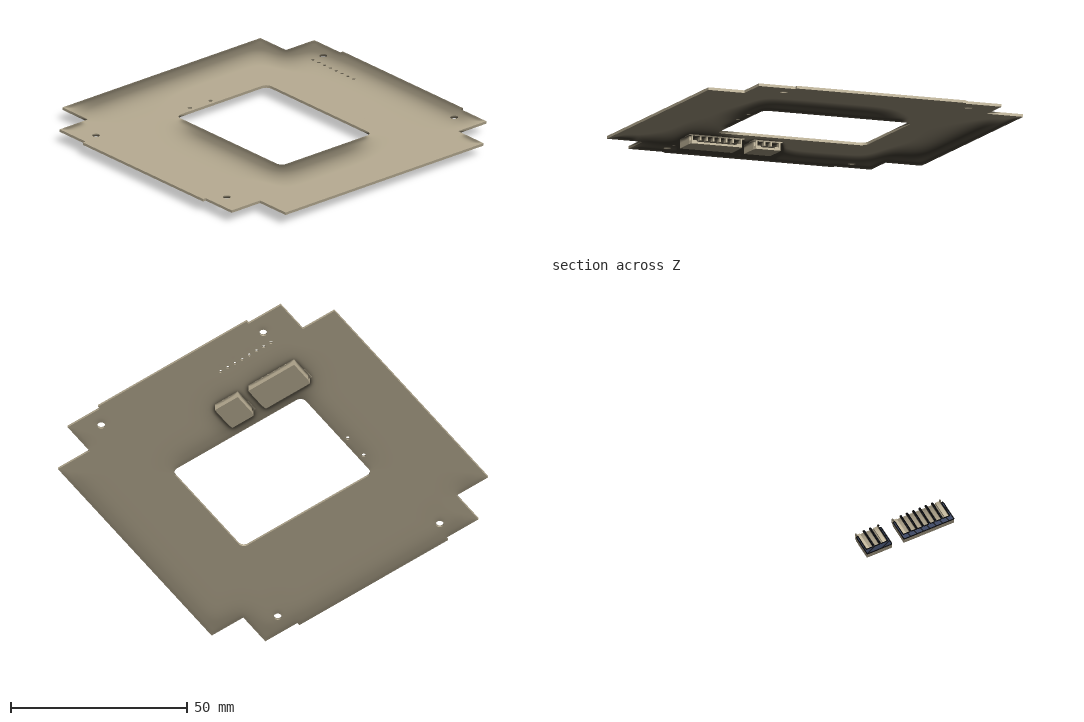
import cadquery as cq

OVERALL_HEIGHT = 3.4

BOARD_X = 96.9
BOARD_Y = 97.3
BOARD_THICKNESS = 0.8
NECK_X = 74.75
WING_Y = 74.2
SHOULDER_Y = 95.4
TAB_X = 52.2

WINDOW_X = 45.7
WINDOW_Y = 34.2
WINDOW_CENTER = (0, 0.4)
WINDOW_RADIUS = 1.9

MOUNT_DIAMETER = 2.2
MOUNT_SPACING_X = 56.8
MOUNT_SPACING_Y = 85.2
MOUNT_CENTER = (0.9, 0)
HEADER_DIAMETER = 1.0
HEADER_COUNT = 8
HEADER_PITCH = 2.5
HEADER_CENTER = (-18.4, 38.4)
PAIR_DIAMETER = 1.3
PAIR_SPACING = 7.7
PAIR_CENTER = (-24.6, -6.0)

LONG_CONTACTS = 6
LONG_CENTER_X = -21.0
SHORT_CONTACTS = 2
SHORT_CENTER_X = -5.3
LONG_SPAN = 10.0
CONTACT_PITCH = LONG_SPAN / (LONG_CONTACTS - 1)
SHELL_END_MARGIN = 3.0
SHELL_HEIGHT = OVERALL_HEIGHT - BOARD_THICKNESS
SHELL_FRONT_Y = 21.7
SHELL_DEPTH = 8.1
CAVITY_WALL = 0.7
CAVITY_ROOF = 0.4
CAVITY_HEIGHT = 1.3
CAVITY_DEPTH = 6.3
KEYWAY_MARGIN = 1.2
KEYWAY_DEPTH = 0.4
NOSE_LENGTH = 1.5
NOSE_INSET = 0.3
SIDE_RECESS_FRONT = 0.4
SIDE_RECESS_LENGTH = 0.7
SIDE_RECESS_HEIGHT = 1.7
SIDE_RECESS_DEPTH = 0.5
CONTACT_WIDTH = 0.5
CONTACT_HEIGHT = 1.2
FOOT_OVERHANG = 0.4
FOOT_LENGTH = 3.5
FOOT_THICKNESS = 0.3
TAIL_OVERHANG = 0.3
TAIL_THICKNESS = 0.3
TAIL_DROP = 0.5


def make_board():
    """Plate with notched corners, end tabs, a window and holes."""
    def layer(x, y):
        return cq.Workplane("XY").box(x, y, BOARD_THICKNESS, centered=(True, True, False))

    def drill(points, diameter):
        return cq.Workplane("XY").pushPoints(points).circle(diameter / 2).extrude(BOARD_THICKNESS)

    board = layer(BOARD_X, WING_Y).union(layer(NECK_X, SHOULDER_Y)).union(layer(TAB_X, BOARD_Y))
    window = layer(WINDOW_X, WINDOW_Y).edges("|Z").fillet(WINDOW_RADIUS).translate((*WINDOW_CENTER, 0))

    mount_points = [
        (MOUNT_CENTER[0] + sx * MOUNT_SPACING_X / 2, MOUNT_CENTER[1] + sy * MOUNT_SPACING_Y / 2)
        for sx in (-1, 1) for sy in (-1, 1)
    ]
    header_points = [
        (HEADER_CENTER[0] + (i - (HEADER_COUNT - 1) / 2) * HEADER_PITCH, HEADER_CENTER[1])
        for i in range(HEADER_COUNT)
    ]
    pair_points = [(PAIR_CENTER[0], PAIR_CENTER[1] + s * PAIR_SPACING / 2) for s in (-1, 1)]

    board = (
        board.cut(window)
        .cut(drill(mount_points, MOUNT_DIAMETER))
        .cut(drill(header_points, HEADER_DIAMETER))
        .cut(drill(pair_points, PAIR_DIAMETER))
    )
    return board.translate((0, 0, -BOARD_THICKNESS))


def hanging_block(width, depth, height, front_y=0.0, top_z=0.0, center_x=0.0):
    """Box centred on X that runs back from front_y and down from top_z."""
    block = cq.Workplane("XY").box(width, depth, height, centered=(True, False, False))
    return block.translate((center_x, front_y, top_z - height))


def make_connector(contacts, center_x):
    """Shell with an open front, contacts on the roof, side feet and rear tails."""
    span = (contacts - 1) * CONTACT_PITCH
    shell_width = span + 2 * SHELL_END_MARGIN
    contact_xs = [(i - (contacts - 1) / 2) * CONTACT_PITCH for i in range(contacts)]

    half_width = shell_width / 2
    nose_half_width = half_width - NOSE_INSET
    connector = (
        cq.Workplane("XY")
        .polyline([
            (-nose_half_width, 0),
            (nose_half_width, 0),
            (half_width, NOSE_LENGTH),
            (half_width, SHELL_DEPTH),
            (-half_width, SHELL_DEPTH),
            (-half_width, NOSE_LENGTH),
        ])
        .close()
        .extrude(-SHELL_HEIGHT)
    )

    for side in (-1, 1):
        connector = connector.cut(
            hanging_block(2 * SIDE_RECESS_DEPTH, SIDE_RECESS_LENGTH, SIDE_RECESS_HEIGHT,
                          front_y=SIDE_RECESS_FRONT, center_x=side * half_width)
        )

    cavity_width = shell_width - 2 * CAVITY_WALL
    keyway_width = span + 2 * KEYWAY_MARGIN
    cavity_floor = -CAVITY_ROOF - CAVITY_HEIGHT
    connector = connector.cut(hanging_block(cavity_width, CAVITY_DEPTH, CAVITY_HEIGHT, top_z=-CAVITY_ROOF))
    connector = connector.cut(hanging_block(keyway_width, CAVITY_DEPTH, KEYWAY_DEPTH, top_z=cavity_floor))

    for x in contact_xs:
        connector = connector.union(
            hanging_block(CONTACT_WIDTH, CAVITY_DEPTH, CONTACT_HEIGHT, top_z=-CAVITY_ROOF, center_x=x)
        )
        connector = connector.union(
            hanging_block(CONTACT_WIDTH, TAIL_OVERHANG, TAIL_THICKNESS,
                          front_y=SHELL_DEPTH, top_z=-TAIL_DROP, center_x=x)
        )

    foot_span = shell_width + 2 * FOOT_OVERHANG
    connector = connector.union(hanging_block(foot_span, FOOT_LENGTH, FOOT_THICKNESS))

    return connector.translate((center_x, SHELL_FRONT_Y, -BOARD_THICKNESS))


board = make_board()
long_connector = make_connector(LONG_CONTACTS, LONG_CENTER_X)
short_connector = make_connector(SHORT_CONTACTS, SHORT_CENTER_X)

result = cq.Compound.makeCompound([board.val(), long_connector.val(), short_connector.val()])